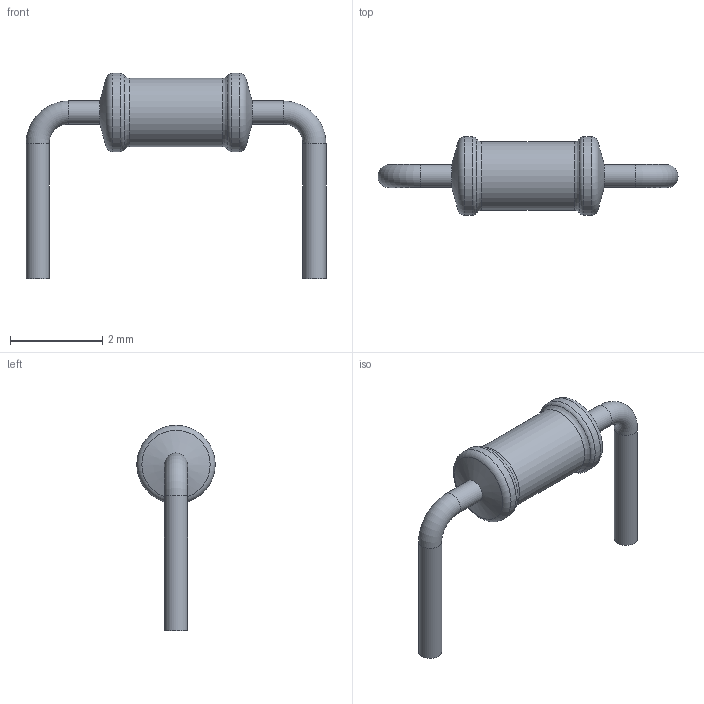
import math

import cadquery as cq

lead_diameter = 0.5
lead_pitch = 6.0
bend_radius = 0.675
axis_height = 3.6

body_length = 3.3
barrel_diameter = 1.48
rim_diameter = 1.7
rim_outer_edge = 1.37
rim_inner_edge = 1.21
flare_middle = 1.115
flare_start = 1.0
rim_fillet_radius = 0.15
end_cone_angle = 15.6

lead_radius = lead_diameter / 2
barrel_radius = barrel_diameter / 2
rim_radius = rim_diameter / 2


def half_body():
    """Right half of the body: barrel, S-shaped flare, rim and conical end."""
    flare_share = (flare_middle - flare_start) / (rim_inner_edge - flare_start)
    flare_middle_radius = barrel_radius + flare_share * (rim_radius - barrel_radius)

    def on_fillet(angle):
        """Point on the rim fillet, with the angle measured from the X direction."""
        return (
            rim_outer_edge + rim_fillet_radius * math.cos(angle),
            rim_radius - rim_fillet_radius + rim_fillet_radius * math.sin(angle),
        )

    cone_tangent = math.radians(end_cone_angle)
    fillet_middle = (cone_tangent + math.pi / 2) / 2

    profile = (
        cq.Workplane("XY")
        .moveTo(0, 0)
        .lineTo(0, barrel_radius)
        .lineTo(flare_start, barrel_radius)
        .tangentArcPoint((flare_middle, flare_middle_radius), relative=False)
        .tangentArcPoint((rim_inner_edge, rim_radius), relative=False)
        .lineTo(rim_outer_edge, rim_radius)
        .threePointArc(on_fillet(fillet_middle), on_fillet(cone_tangent))
        .lineTo(body_length / 2, lead_radius)
        .lineTo(body_length / 2, 0)
        .close()
    )
    return profile.revolve(360, (0, 0), (1, 0)).translate((0, 0, axis_height))


def lead():
    """Right lead: down from the body axis through a quarter bend to the tip."""
    lead_x = lead_pitch / 2
    path = (
        cq.Workplane("XZ")
        .moveTo(lead_x, 0)
        .lineTo(lead_x, axis_height - bend_radius)
        .tangentArcPoint((lead_x - bend_radius, axis_height), relative=False)
        .lineTo(0, axis_height)
    )
    return cq.Workplane("XY").center(lead_x, 0).circle(lead_radius).sweep(path)


half = half_body().union(lead())
other_half = half.rotate((0, 0, 0), (0, 0, 1), 180)
result = half.union(other_half).clean()